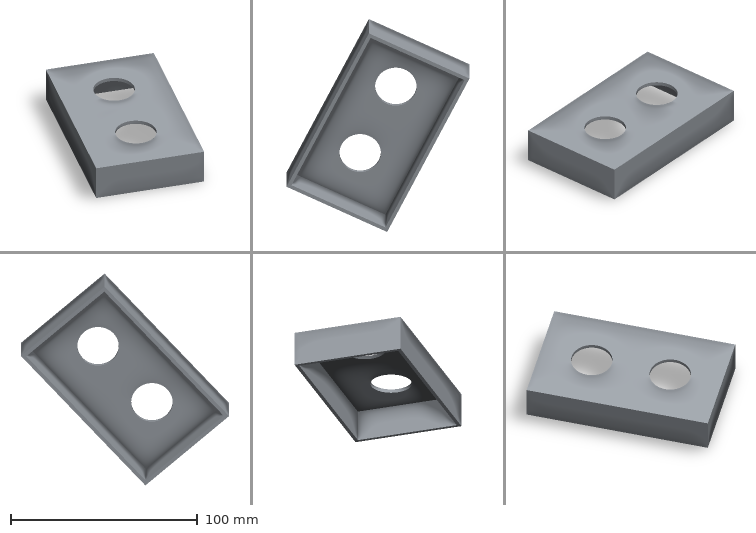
import cadquery as cq

length = 100.0
width = 60.0
height = 19.0

top_thickness = 2.0
wall_thickness = 2.0

hole_diameter = 22.2
hole_spacing = 43.3

body = cq.Workplane("XY").box(length, width, height, centered=(True, True, False))

cavity = cq.Workplane("XY").box(
    length - 2 * wall_thickness,
    width - 2 * wall_thickness,
    height - top_thickness,
    centered=(True, True, False),
)

holes = (
    cq.Workplane("XY")
    .pushPoints([(-hole_spacing / 2, 0), (hole_spacing / 2, 0)])
    .circle(hole_diameter / 2)
    .extrude(height)
)

result = body.cut(cavity).cut(holes)